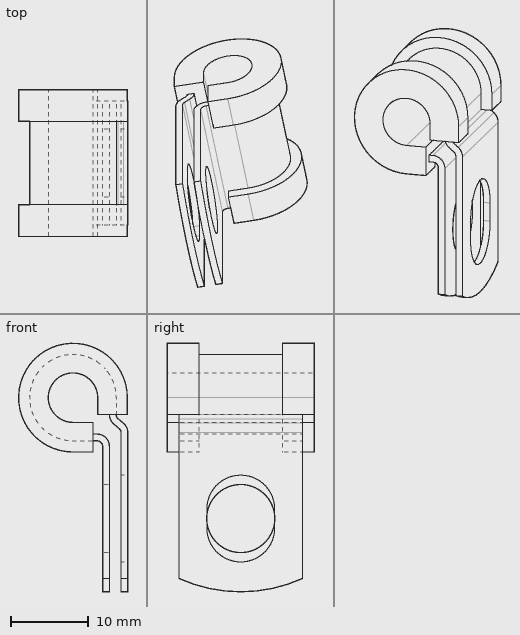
import cadquery as cq
import math

overall_height = 32.0
sleeve_length = 18.92
sleeve_radius = 7.0
bore_radius = 3.17
flange_width = 4.1
upper_end_drop = 2.18
lower_end_reach = 2.6

strap_outer_radius = 5.57
strap_thickness = 0.9
strap_width = 15.95
bend_inner_radius = 0.7
jog_angle = 50.0
inner_tab_face = 4.7
outer_tab_face = 7.07

hole_diameter = 8.75
hole_z = -15.55
slot_height = 11.17
tab_end_rise = 1.73

half_thickness = strap_thickness / 2
strap_mid_radius = strap_outer_radius - half_thickness
bend_radius = bend_inner_radius + half_thickness
tab_bottom = sleeve_radius - overall_height


def c_sleeve(outer_radius, length):
    """C-shaped sleeve centred on the XZ plane, open toward +X and -Z."""
    diagonal = math.sqrt(0.5)
    return (
        cq.Workplane("XZ")
        .moveTo(outer_radius, -upper_end_drop)
        .lineTo(outer_radius, 0)
        .threePointArc((-outer_radius * diagonal, outer_radius * diagonal), (0, -outer_radius))
        .lineTo(lower_end_reach, -outer_radius)
        .lineTo(lower_end_reach, -bore_radius)
        .lineTo(0, -bore_radius)
        .threePointArc((-bore_radius * diagonal, bore_radius * diagonal), (bore_radius, 0))
        .lineTo(bore_radius, -upper_end_drop)
        .close()
        .extrude(length / 2, both=True)
    )


def sleeve():
    """Sleeve with an end flange on each side of the exposed strap."""
    body = c_sleeve(strap_outer_radius, sleeve_length)
    flange_offset = (sleeve_length - flange_width) / 2
    for side in (-1, 1):
        flange = c_sleeve(sleeve_radius, flange_width)
        body = body.union(flange.translate((0, side * flange_offset, 0)))
    return body


def polar(centre, radius, angle):
    """Point in the XZ plane at an angle in degrees from +X about a centre."""
    turn = math.radians(angle)
    return (centre[0] + radius * math.cos(turn), centre[1] + radius * math.sin(turn))


def inner_tab():
    """Tab that leaves the lower sleeve end horizontally and bends straight down."""
    outer = bend_inner_radius + strap_thickness
    centre = (inner_tab_face - outer, strap_thickness - strap_outer_radius - outer)
    return (
        cq.Workplane("XZ")
        .moveTo(0, centre[1] + outer)
        .lineTo(centre[0], centre[1] + outer)
        .threePointArc(polar(centre, outer, 45), polar(centre, outer, 0))
        .lineTo(centre[0] + outer, tab_bottom)
        .lineTo(centre[0] + bend_inner_radius, tab_bottom)
        .lineTo(*polar(centre, bend_inner_radius, 0))
        .threePointArc(polar(centre, bend_inner_radius, 45), polar(centre, bend_inner_radius, 90))
        .lineTo(0, centre[1] + bend_inner_radius)
        .close()
        .extrude(strap_width / 2, both=True)
    )


def outer_tab():
    """Tab that drops from the upper sleeve end and jogs outward before running down."""
    slope = math.radians(jog_angle)
    tab_mid = outer_tab_face - half_thickness
    jog_offset = tab_mid - strap_mid_radius
    straight_offset = jog_offset - 2 * bend_radius * (1 - math.cos(slope))
    jog_drop = 2 * bend_radius * math.sin(slope) + straight_offset / math.tan(slope)
    upper_centre = (strap_mid_radius + bend_radius, -upper_end_drop)
    lower_centre = (tab_mid - bend_radius, -upper_end_drop - jog_drop)
    near = bend_inner_radius
    far = bend_radius + half_thickness
    upper_mid = 180 + jog_angle / 2
    upper_end = 180 + jog_angle
    lower_mid = jog_angle / 2
    return (
        cq.Workplane("XZ")
        .moveTo(strap_outer_radius, 0)
        .lineTo(*polar(upper_centre, near, 180))
        .threePointArc(polar(upper_centre, near, upper_mid), polar(upper_centre, near, upper_end))
        .lineTo(*polar(lower_centre, far, jog_angle))
        .threePointArc(polar(lower_centre, far, lower_mid), polar(lower_centre, far, 0))
        .lineTo(outer_tab_face, tab_bottom)
        .lineTo(outer_tab_face - strap_thickness, tab_bottom)
        .lineTo(*polar(lower_centre, near, 0))
        .threePointArc(polar(lower_centre, near, lower_mid), polar(lower_centre, near, jog_angle))
        .lineTo(*polar(upper_centre, far, upper_end))
        .threePointArc(polar(upper_centre, far, upper_mid), polar(upper_centre, far, 180))
        .lineTo(strap_outer_radius - strap_thickness, 0)
        .close()
        .extrude(strap_width / 2, both=True)
    )


def tab_shape():
    """Solid along X with the tabs' face outline: straight sides and a rounded lower end."""
    half_width = strap_width / 2
    return (
        cq.Workplane("YZ")
        .moveTo(-half_width, 0)
        .lineTo(-half_width, tab_bottom + tab_end_rise)
        .threePointArc((0, tab_bottom), (half_width, tab_bottom + tab_end_rise))
        .lineTo(half_width, 0)
        .close()
        .extrude(outer_tab_face)
    )


def bolt_hole():
    """Round cutter for the inner tab."""
    return (
        cq.Workplane("YZ")
        .center(0, hole_z)
        .circle(hole_diameter / 2)
        .extrude(outer_tab_face)
    )


def bolt_slot():
    """Upright slot cutter for the outer tab, centred on the round hole."""
    return (
        cq.Workplane("YZ")
        .center(0, hole_z)
        .slot2D(slot_height, hole_diameter, 90)
        .extrude(outer_tab_face)
    )


tabs = inner_tab().cut(bolt_hole()).union(outer_tab().cut(bolt_slot()))
result = sleeve().union(tabs.intersect(tab_shape()))